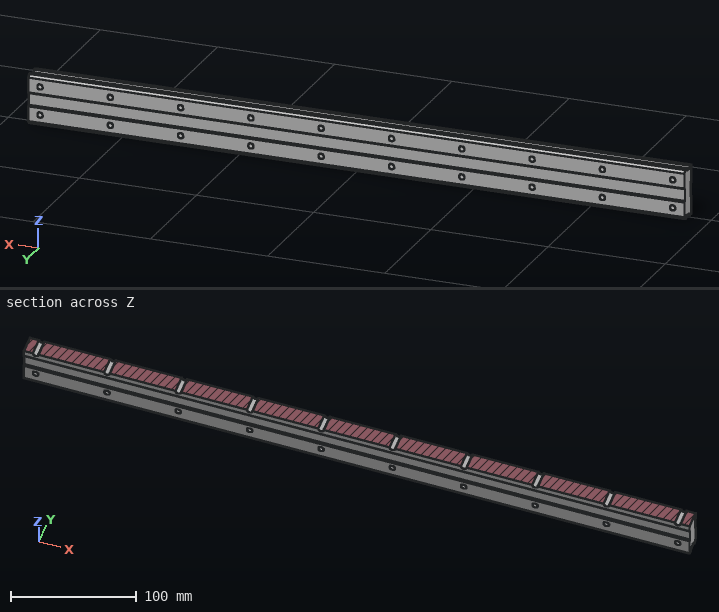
import cadquery as cq

length = 560.0
thickness = 15.0
height = 42.0

relief_depth = 1.0
relief_mouth_height = 12.0
relief_floor_height = relief_mouth_height - 2 * relief_depth

groove_depth = 1.8
groove_front_mouth = -4.5
groove_front_floor = -3.2
groove_back_mouth = 3.8
groove_back_kink = 3.0
groove_back_kink_depth = 1.1
groove_back_floor = 1.3

bevel_width = 2.0
bevel_drop = 2.4

hole_diameter = 4.5
hole_pitch = 60.0
holes_per_row = 10
row_count = 2
row_spacing = 24.0

half_thickness = thickness / 2
half_height = height / 2


def make_bar():
    """Extrude the grooved section, symmetric about mid-height, along X."""
    groove_floor = half_height - groove_depth
    relief_floor = half_thickness - relief_depth
    upper_half = [
        (-relief_floor, relief_floor_height / 2),
        (-half_thickness, relief_mouth_height / 2),
        (-half_thickness, half_height),
        (groove_front_mouth, half_height),
        (groove_front_floor, groove_floor),
        (groove_back_floor, groove_floor),
        (groove_back_kink, half_height - groove_back_kink_depth),
        (groove_back_mouth, half_height),
        (half_thickness - bevel_width, half_height),
        (half_thickness, half_height - bevel_drop),
        (half_thickness, relief_mouth_height / 2),
        (relief_floor, relief_floor_height / 2),
    ]
    lower_half = [(y, -z) for y, z in reversed(upper_half)]
    section = cq.Workplane("YZ", origin=(-length / 2, 0, 0)).polyline(upper_half + lower_half).close()
    return section.extrude(length)


def make_hole_pins():
    """Pins that cut both rows of holes through the thickness."""
    return (
        cq.Workplane("XZ")
        .rarray(hole_pitch, row_spacing, holes_per_row, row_count)
        .circle(hole_diameter / 2)
        .extrude(half_thickness, both=True)
    )


result = make_bar().cut(make_hole_pins())